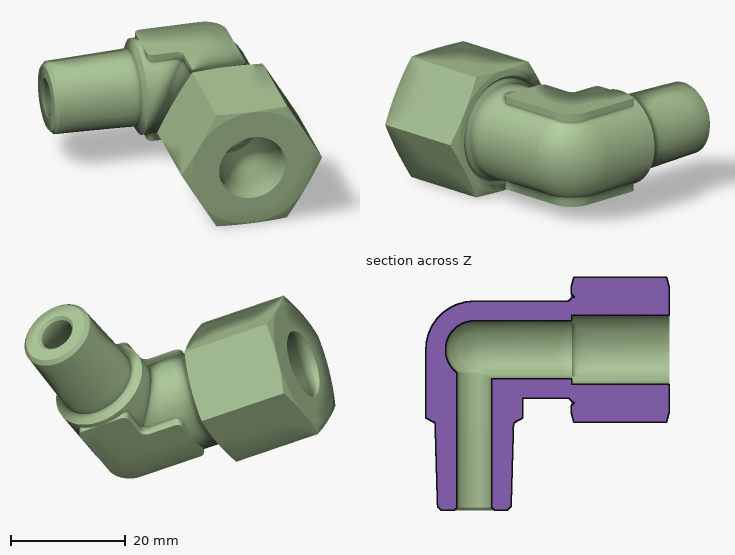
import cadquery as cq
import math

body_radius = 8.5
shoulder_y = -11.9
thread_start_y = -12.8
thread_end_y = -28.0
thread_start_radius = 6.9
thread_end_radius = 6.45
thread_chamfer = 0.7

collar_start_x = 16.15
collar_flare_x = 16.45
collar_step_radius = 8.55
collar_radius = 9.2
collar_end_x = collar_flare_x + collar_radius - collar_step_radius

nut_start_x = 16.85
nut_end_x = 34.0
nut_across_flats = 22.0
nut_across_corners = nut_across_flats / math.cos(math.pi / 6)
nut_face_radius = 10.92
nut_chamfer_angle = math.radians(15)
recess_radius = 9.78
recess_depth = 0.6

pad_outer = 4.8
pad_inner = 4.85
pad_end_x = 12.15
pad_end_y = -10.95
pad_corner_radius = 4.0
pad_inner_radius = 1.2
pad_edge_radius = 1.0

thread_bore_radius = 6.0 / 2
bore_chamfer = 0.5
main_bore_radius = 10.0 / 2
tube_socket_radius = 12.0 / 2
tube_stop_x = 17.0


def revolve_about_x(profile):
    """Turn a closed (x, radius) profile about the X axis."""
    return cq.Workplane("XY").polyline(profile).close().revolve(360, (0, 0, 0), (1, 0, 0))


def revolve_about_y(profile):
    """Turn a closed (radius, y) profile about the Y axis."""
    return cq.Workplane("XY").polyline(profile).close().revolve(360, (0, 0, 0), (0, 1, 0))


def make_threaded_leg():
    return revolve_about_y([
        (0, 0),
        (body_radius, 0),
        (body_radius, shoulder_y),
        (thread_start_radius, thread_start_y),
        (thread_end_radius, thread_end_y + thread_chamfer),
        (thread_end_radius - thread_chamfer, thread_end_y),
        (0, thread_end_y),
    ])


def make_nut_leg():
    return revolve_about_x([
        (0, 0),
        (0, body_radius),
        (collar_start_x, body_radius),
        (collar_flare_x, collar_step_radius),
        (collar_end_x, collar_radius),
        (nut_end_x, collar_radius),
        (nut_end_x, 0),
    ])


def make_nut():
    """Hexagon with flats facing +Z and -Z, both ends turned to a shallow cone."""
    hexagon = (
        cq.Workplane("YZ", origin=(nut_start_x, 0, 0))
        .polygon(6, nut_across_corners)
        .extrude(nut_end_x - nut_start_x)
    )
    corner_radius = nut_across_corners / 2
    cone_length = (corner_radius - nut_face_radius) * math.tan(nut_chamfer_angle)
    envelope = revolve_about_x([
        (nut_start_x, 0),
        (nut_start_x, nut_face_radius),
        (nut_start_x + cone_length, corner_radius),
        (nut_end_x - cone_length, corner_radius),
        (nut_end_x, nut_face_radius),
        (nut_end_x, 0),
    ])
    recess = revolve_about_x([
        (nut_start_x, 0),
        (nut_start_x, recess_radius),
        (nut_start_x + recess_depth, collar_radius),
        (nut_start_x + recess_depth, 0),
    ])
    return hexagon.intersect(envelope).cut(recess)


def make_pads():
    """L-shaped prism whose two ends stand level with the top and bottom of the body."""
    prism = (
        cq.Workplane("XY", origin=(0, 0, -body_radius))
        .polyline([
            (-pad_outer, pad_outer),
            (pad_end_x, pad_outer),
            (pad_end_x, -pad_inner),
            (pad_inner, -pad_inner),
            (pad_inner, pad_end_y),
            (-pad_outer, pad_end_y),
        ])
        .close()
        .extrude(2 * body_radius)
    )
    outer_corner = cq.selectors.NearestToPointSelector((-pad_outer, pad_outer, 0))
    prism = prism.edges(outer_corner).fillet(pad_corner_radius)
    inner_corner = cq.selectors.NearestToPointSelector((pad_inner, -pad_inner, 0))
    prism = prism.edges(inner_corner).fillet(pad_inner_radius)
    prism = prism.faces(">X").edges("|Z").fillet(pad_edge_radius)
    return prism.faces("<Y").edges("|Z").fillet(pad_edge_radius)


def make_passages():
    thread_bore = revolve_about_y([
        (0, 0),
        (thread_bore_radius, 0),
        (thread_bore_radius, thread_end_y + bore_chamfer),
        (thread_bore_radius + bore_chamfer, thread_end_y),
        (0, thread_end_y),
    ])
    main_bore = revolve_about_x([
        (0, 0),
        (0, main_bore_radius),
        (tube_stop_x, main_bore_radius),
        (tube_stop_x, tube_socket_radius),
        (nut_end_x, tube_socket_radius),
        (nut_end_x, 0),
    ])
    bore_end = cq.Workplane("XY").sphere(main_bore_radius)
    return thread_bore.union(main_bore).union(bore_end)


ball = cq.Workplane("XY").sphere(body_radius)
elbow = ball.union(make_threaded_leg()).union(make_nut_leg()).union(make_pads())
result = elbow.union(make_nut()).cut(make_passages())